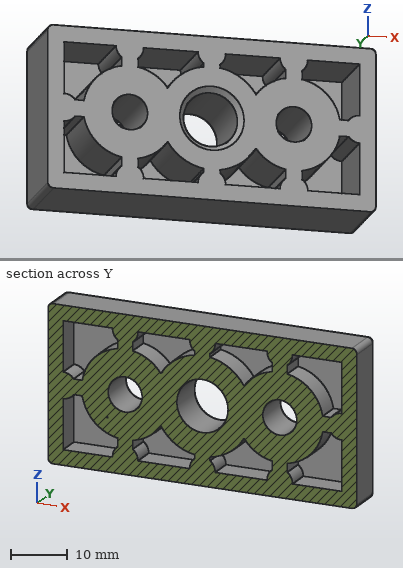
import cadquery as cq

length = 60.0
depth = 15.0
height = 30.0
edge_radius = 1.0

wall = 3.0
floor_thickness = 3.0
rib_thickness = 3.0
pad_radius = 2.5

boss_spacing = length / 4
center_boss_radius = 9.5
side_boss_radius = 8.5
center_hole_diameter = 9.85
side_hole_diameter = 6.5
center_hole_chamfer = 0.95

inner_length = length - 2 * wall
inner_height = height - 2 * wall
pocket_depth = depth - floor_thickness
boss_positions = [-boss_spacing, 0, boss_spacing]
side_hole_points = [(-boss_spacing, 0), (boss_spacing, 0)]

open_face = cq.Workplane("XZ", origin=(0, -depth / 2, 0))


def make_block():
    """Solid block with rounded corners and a rounded closed back edge."""
    block = open_face.rect(length, height).extrude(-depth)
    return block.edges("|Y or >Y").fillet(edge_radius)


def make_core():
    """Bosses, ribs and round pads that are left standing inside the hollow."""
    core = open_face.circle(center_boss_radius).extrude(-pocket_depth)
    core = core.union(open_face.pushPoints(side_hole_points).circle(side_boss_radius).extrude(-pocket_depth))

    for x in boss_positions:
        rib = open_face.center(x, 0).rect(rib_thickness, inner_height).extrude(-pocket_depth)
        core = core.union(rib)
    core = core.union(open_face.rect(inner_length, rib_thickness).extrude(-pocket_depth))

    pad_points = [(x, side * inner_height / 2) for x in boss_positions for side in (-1, 1)]
    pad_points += [(side * inner_length / 2, 0) for side in (-1, 1)]
    return core.union(open_face.pushPoints(pad_points).circle(pad_radius).extrude(-pocket_depth))


def make_pockets():
    """The hollow interior minus everything that stands in it."""
    hollow = open_face.rect(inner_length, inner_height).extrude(-pocket_depth)
    return hollow.cut(make_core())


def make_holes():
    """Through holes, the center one countersunk at the open face."""
    center_radius = center_hole_diameter / 2
    holes = open_face.circle(center_radius).extrude(-depth)
    holes = holes.union(open_face.pushPoints(side_hole_points).circle(side_hole_diameter / 2).extrude(-depth))
    countersink = (
        open_face.circle(center_radius + center_hole_chamfer)
        .workplane(offset=-center_hole_chamfer)
        .circle(center_radius)
        .loft()
    )
    return holes.union(countersink)


result = make_block().cut(make_pockets()).cut(make_holes())